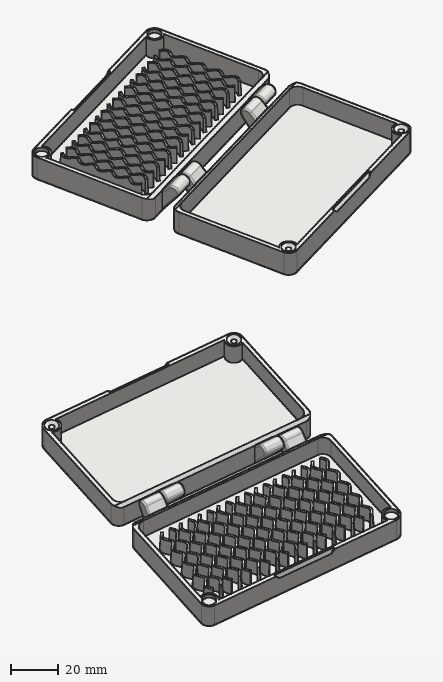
import cadquery as cq
import math

OVERALL_LENGTH = 130.0
TRAY_WIDTH = 100.0
TRAY_HEIGHT = 12.0
TRAY_GAP = 10.0
TRAY_LENGTH = (OVERALL_LENGTH - TRAY_GAP) / 2
WALL = 2.0
FLOOR = 2.0
CORNER_RADIUS = 4.0
RIM_BEVEL_DROP = 1.0

SOCKET_DIAMETER = 6.2
SOCKET_DEPTH = 2.0
CONE_DEPTH = 1.0
CONE_BOTTOM_DIAMETER = 2.5

NOTCH_TOP_LENGTH = 30.0
NOTCH_DEPTH = 2.0
NOTCH_INSET = 1.0

KNUCKLE_RADIUS = 3.0
KNUCKLE_WIDTH = 10.0
KNUCKLE_FILLET = 0.9
KNUCKLE_JOINT_Y = 30.0
ARM_TOP_ANGLE = math.radians(45)
KNUCKLE_MID_ANGLE = math.radians(160)

CELL_COLUMNS = 5
CELL_ROWS = 9
CELL_PITCH_X = 8.5
CELL_PITCH_Y = 9.5
WAVE_NUMBER = 2 * math.pi / CELL_PITCH_X
WAVE_AMPLITUDE = 1.2
CREST_Y = 3.0
RIB_OVERHANG = 2.5
RIB_BASE_THICKNESS = 1.4
RIB_TOP_THICKNESS = 1.0
RIB_HEIGHT = 7.9
CURVE_STEPS = 80

HALF_WIDTH = TRAY_WIDTH / 2
HINGE_EDGE = TRAY_GAP / 2
CAVITY_DEPTH = TRAY_HEIGHT - FLOOR
OUTER_EDGE = HINGE_EDGE + TRAY_LENGTH
TRAY_CENTER = HINGE_EDGE + TRAY_LENGTH / 2


def tray_shell():
    """Open tray on the +X side of the hinge, with its hinge-side rim bevelled."""
    block = (
        cq.Workplane("XY")
        .center(TRAY_CENTER, 0)
        .rect(TRAY_LENGTH, TRAY_WIDTH)
        .extrude(TRAY_HEIGHT)
        .edges("|Z")
        .fillet(CORNER_RADIUS)
    )
    cavity = (
        cq.Workplane("XY", origin=(TRAY_CENTER, 0, FLOOR))
        .rect(TRAY_LENGTH - 2 * WALL, TRAY_WIDTH - 2 * WALL)
        .extrude(CAVITY_DEPTH)
        .edges("|Z")
        .fillet(CORNER_RADIUS)
    )
    bevel = (
        cq.Workplane("XZ")
        .moveTo(HINGE_EDGE, TRAY_HEIGHT)
        .lineTo(HINGE_EDGE + WALL, TRAY_HEIGHT)
        .lineTo(HINGE_EDGE, TRAY_HEIGHT - RIM_BEVEL_DROP)
        .close()
        .extrude(HALF_WIDTH, both=True)
    )
    return block.cut(cavity).cut(bevel)


def boss_points():
    """Centres of the two outer corner arcs."""
    x = OUTER_EDGE - CORNER_RADIUS
    y = HALF_WIDTH - CORNER_RADIUS
    return [(x, y), (x, -y)]


def corner_bosses():
    """Round posts centred on the two outer corner arcs."""
    return (
        cq.Workplane("XY")
        .pushPoints(boss_points())
        .circle(CORNER_RADIUS)
        .extrude(TRAY_HEIGHT)
    )


def finger_notch():
    """Sloped wedge with slanted ends, cut into the outer rim."""
    half_top = NOTCH_TOP_LENGTH / 2
    half_bottom = half_top - NOTCH_DEPTH
    wedge = (
        cq.Workplane("XZ")
        .moveTo(OUTER_EDGE, TRAY_HEIGHT)
        .lineTo(OUTER_EDGE - NOTCH_INSET, TRAY_HEIGHT)
        .lineTo(OUTER_EDGE, TRAY_HEIGHT - NOTCH_DEPTH)
        .close()
        .extrude(half_top, both=True)
    )
    ends = (
        cq.Workplane("YZ", origin=(OUTER_EDGE - NOTCH_INSET, 0, 0))
        .moveTo(-half_top, TRAY_HEIGHT)
        .lineTo(-half_bottom, TRAY_HEIGHT - NOTCH_DEPTH)
        .lineTo(half_bottom, TRAY_HEIGHT - NOTCH_DEPTH)
        .lineTo(half_top, TRAY_HEIGHT)
        .close()
        .extrude(NOTCH_INSET)
    )
    return wedge.intersect(ends)


def knuckle_point(angle):
    """Point on the knuckle circle at an angle from +X in the XZ plane."""
    return (KNUCKLE_RADIUS * math.cos(angle), TRAY_HEIGHT + KNUCKLE_RADIUS * math.sin(angle))


def knuckle(joint_side_y, far_side_y):
    """Rounded hinge knuckle carried by an arm that starts on the +X tray's hinge-side wall."""
    top_x, top_z = knuckle_point(ARM_TOP_ANGLE)
    arm_top_z = top_z - (HINGE_EDGE - top_x)
    foot_distance = math.hypot(HINGE_EDGE, TRAY_HEIGHT)
    foot_angle = math.atan2(-TRAY_HEIGHT, HINGE_EDGE) - math.acos(KNUCKLE_RADIUS / foot_distance)
    profile = (
        cq.Workplane("XZ", origin=(0, max(joint_side_y, far_side_y), 0))
        .moveTo(HINGE_EDGE, 0)
        .lineTo(HINGE_EDGE, arm_top_z)
        .lineTo(top_x, top_z)
        .threePointArc(knuckle_point(KNUCKLE_MID_ANGLE), knuckle_point(foot_angle))
        .close()
        .extrude(abs(joint_side_y - far_side_y))
    )
    return profile.faces("<Y or >Y").edges("not(>X)").fillet(KNUCKLE_FILLET)


def hinge_knuckles(far_side_y):
    """Mirrored pair of knuckles between the hinge joint plane and far_side_y."""
    near = knuckle(KNUCKLE_JOINT_Y, far_side_y)
    return near.union(near.mirror("XZ"))


def wave_point(x, offset, height):
    """Point on a curve at a constant offset from a sine wave that crests over the cell centres."""
    phase = WAVE_NUMBER * x
    y = CREST_Y - WAVE_AMPLITUDE * (1 - math.cos(phase))
    slope = math.atan(-WAVE_AMPLITUDE * WAVE_NUMBER * math.sin(phase))
    return cq.Vector(x - offset * math.sin(slope), y + offset * math.cos(slope), height)


def rib_outline(thickness, height):
    """Closed outline of a wavy strip of constant thickness at a height."""
    half_span = (CELL_COLUMNS - 1) / 2 * CELL_PITCH_X + RIB_OVERHANG
    stations = [half_span * (2 * step / CURVE_STEPS - 1) for step in range(CURVE_STEPS + 1)]
    cell_side = [wave_point(x, 0, height) for x in stations]
    far_side = [wave_point(x, thickness, height) for x in stations]
    return cq.Wire.assembleEdges([
        cq.Edge.makeSpline(cell_side),
        cq.Edge.makeLine(cell_side[-1], far_side[-1]),
        cq.Edge.makeSpline(far_side[::-1]),
        cq.Edge.makeLine(far_side[0], cell_side[0]),
    ])


def wave_rib():
    """One rib along X, upright on its cell side and drafted on the other."""
    base_outline = rib_outline(RIB_BASE_THICKNESS, FLOOR)
    top_outline = rib_outline(RIB_TOP_THICKNESS, FLOOR + RIB_HEIGHT)
    return cq.Workplane(cq.Solid.makeLoft([base_outline, top_outline], True))


def cell_ribs():
    """A rib on each side of every row of cells, centred in the base tray."""
    upper_rib = wave_rib()
    lower_rib = upper_rib.mirror("XZ")
    ribs = []
    for row in range(CELL_ROWS):
        y = (row - (CELL_ROWS - 1) / 2) * CELL_PITCH_Y
        ribs.append(upper_rib.translate((-TRAY_CENTER, y, 0)))
        ribs.append(lower_rib.translate((-TRAY_CENTER, y, 0)))
    return ribs


def plain_tray():
    """Tray with corner bosses and finger notch, shared by both halves."""
    return tray_shell().union(corner_bosses()).cut(finger_notch())


def base_tray():
    """Tray on the -X side with round sockets, outer knuckles and the ribbed floor."""
    sockets = (
        cq.Workplane("XY", origin=(0, 0, TRAY_HEIGHT - SOCKET_DEPTH))
        .pushPoints(boss_points())
        .circle(SOCKET_DIAMETER / 2)
        .extrude(SOCKET_DEPTH)
    )
    tray = plain_tray().cut(sockets).union(hinge_knuckles(KNUCKLE_JOINT_Y + KNUCKLE_WIDTH))
    tray = tray.mirror("YZ")
    for rib in cell_ribs():
        tray = tray.union(rib)
    return tray


def lid_tray():
    """Tray on the +X side with conical sockets and inner knuckles."""
    tray = plain_tray()
    for x, y in boss_points():
        cone = cq.Solid.makeCone(
            CONE_BOTTOM_DIAMETER / 2,
            SOCKET_DIAMETER / 2,
            CONE_DEPTH,
            cq.Vector(x, y, TRAY_HEIGHT - CONE_DEPTH),
            cq.Vector(0, 0, 1),
        )
        tray = tray.cut(cq.Workplane(cone))
    return tray.union(hinge_knuckles(KNUCKLE_JOINT_Y - KNUCKLE_WIDTH))


base = base_tray()
lid = lid_tray()
result = cq.Compound.makeCompound([base.val(), lid.val()])